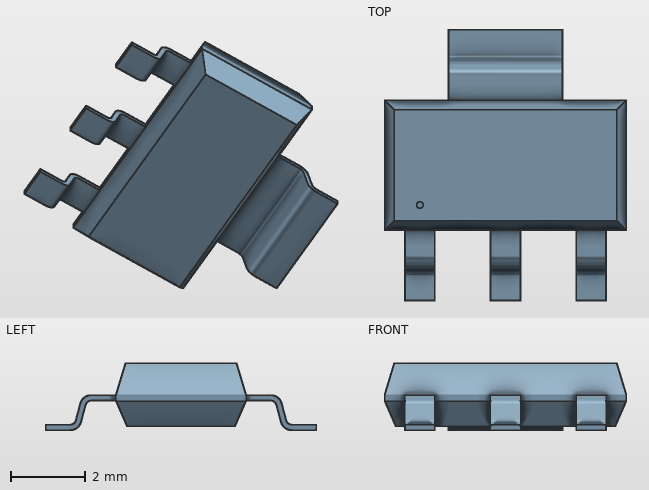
import cadquery as cq
import math

overall_length = 7.29
overall_height = 1.81

housing_width = 6.5
housing_depth = 3.5
standoff = 0.1
belt_bottom = 0.79
belt_top = 0.96
top_inset = 0.255
bottom_inset = 0.3

sheet_thickness = 0.15
inner_bend_radius = 0.15
outer_bend_radius = inner_bend_radius + sheet_thickness
slope_angle = math.radians(75)
shoulder_top = 0.95
foot_length = 0.66
lead_width = 0.81
lead_pitch = 2.3
lead_count = 3
tab_width = 3.08

marker_diameter = 0.175
marker_depth = 0.05
marker_from_front = 0.68
first_lead_x = -lead_pitch * (lead_count - 1) / 2
marker_y = -housing_depth / 2 + marker_from_front


def tapered_block(start_z, end_z, start_inset, end_inset):
    """Block whose rectangular section shrinks or grows evenly between two heights."""
    return (
        cq.Workplane("XY", origin=(0, 0, start_z))
        .rect(housing_width - 2 * start_inset, housing_depth - 2 * start_inset)
        .workplane(offset=end_z - start_z)
        .rect(housing_width - 2 * end_inset, housing_depth - 2 * end_inset)
        .loft(ruled=True)
    )


def make_marker():
    return (
        cq.Workplane("XY", origin=(first_lead_x, marker_y, overall_height - marker_depth))
        .circle(marker_diameter / 2)
        .extrude(marker_depth)
    )


def make_housing():
    lower = tapered_block(standoff, belt_bottom, bottom_inset, 0)
    belt = tapered_block(belt_bottom, belt_top, 0, 0)
    upper = tapered_block(belt_top, overall_height, 0, top_inset)
    return lower.union(belt).union(upper).cut(make_marker())


def make_terminal(width, center_x):
    """Gull-wing strip running from the front (-Y) housing face down to its foot."""
    sine = math.sin(slope_angle)
    cosine = math.cos(slope_angle)
    drop = shoulder_top - sheet_thickness
    bend_radii = inner_bend_radius + outer_bend_radius
    slope_drop = drop - bend_radii * (1 - cosine)
    slope_run = slope_drop * cosine / sine

    tip_y = -overall_length / 2
    root_y = -housing_depth / 2
    foot_bend_y = tip_y + foot_length
    shoulder_bend_y = foot_bend_y + bend_radii * sine + slope_run
    foot_bend_center = (foot_bend_y, outer_bend_radius)
    shoulder_bend_center = (shoulder_bend_y, shoulder_top - outer_bend_radius)

    def foot_bend_point(radius, angle):
        y, z = foot_bend_center
        return (y + radius * math.sin(angle), z - radius * math.cos(angle))

    def shoulder_bend_point(radius, angle):
        y, z = shoulder_bend_center
        return (y - radius * math.sin(angle), z + radius * math.cos(angle))

    half_angle = slope_angle / 2
    return (
        cq.Workplane("YZ", origin=(center_x, 0, 0))
        .moveTo(tip_y, 0)
        .lineTo(foot_bend_y, 0)
        .threePointArc(
            foot_bend_point(outer_bend_radius, half_angle),
            foot_bend_point(outer_bend_radius, slope_angle),
        )
        .lineTo(*shoulder_bend_point(inner_bend_radius, slope_angle))
        .threePointArc(
            shoulder_bend_point(inner_bend_radius, half_angle),
            shoulder_bend_point(inner_bend_radius, 0),
        )
        .lineTo(root_y, shoulder_top - sheet_thickness)
        .lineTo(root_y, shoulder_top)
        .lineTo(shoulder_bend_y, shoulder_top)
        .threePointArc(
            shoulder_bend_point(outer_bend_radius, half_angle),
            shoulder_bend_point(outer_bend_radius, slope_angle),
        )
        .lineTo(*foot_bend_point(inner_bend_radius, slope_angle))
        .threePointArc(
            foot_bend_point(inner_bend_radius, half_angle),
            foot_bend_point(inner_bend_radius, 0),
        )
        .lineTo(tip_y, sheet_thickness)
        .close()
        .extrude(width / 2, both=True)
    )


def make_tab():
    """Wide heat tab: the same bent section as a lead, turned to the back (+Y)."""
    return make_terminal(tab_width, 0).rotate((0, 0, 0), (0, 0, 1), 180)


housing = make_housing()
marker = make_marker()
tab = make_tab()
leads = [make_terminal(lead_width, first_lead_x + i * lead_pitch) for i in range(lead_count)]

result = cq.Compound.makeCompound(
    [body.solids().val() for body in (housing, marker, tab, *leads)]
)